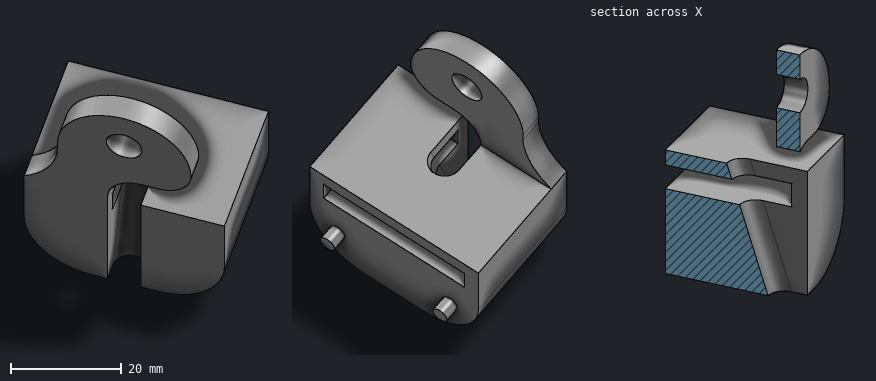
import cadquery as cq
import math

BODY_WIDTH = 38.1
BODY_DEPTH = 26.985
BODY_HEIGHT = 25.4
CORNER_RADIUS = BODY_WIDTH / 3
BODY_CENTER_X = BODY_WIDTH / 2

LUG_THICKNESS = 4.7625
LUG_HEIGHT = 25.4
LUG_TOP = BODY_HEIGHT + LUG_HEIGHT
LUG_RADIUS = 12.7
LUG_THROAT_RADIUS = 6.35
LUG_HOLE_DIAMETER = 6.75
LUG_HOLE_DROP = 8.467

SLOT_WIDTH = 6.35
SLOT_RADIUS = SLOT_WIDTH / 2
SLOT_DEPTH_BOTTOM = 6.35
SLOT_DEPTH_TOP = 14.65

CAVITY_WALL = 3.175
CAVITY_HEIGHT = 4.7625
CAVITY_TOP = BODY_HEIGHT - CAVITY_WALL

PIN_DIAMETER = 3.175
PIN_LENGTH = 3.175
PIN_SPACING = 25.4
PIN_HEIGHT = 8.73


def arc_point(center_x, center_z, radius, angle_degrees):
    """Point on a circle in the XZ plane, angle measured from +X towards +Z."""
    angle = math.radians(angle_degrees)
    return (center_x + radius * math.cos(angle), center_z + radius * math.sin(angle))


def along_y(profile, start, length):
    """Extrude an XZ profile towards +Y, beginning at Y = start."""
    return profile.extrude(-length).translate((0, start, 0))


def make_body():
    block = cq.Workplane("XY").box(BODY_WIDTH, BODY_DEPTH, BODY_HEIGHT, centered=False)
    return block.edges("|Y and <Z").fillet(CORNER_RADIUS)


def make_lug():
    left = BODY_CENTER_X - LUG_RADIUS
    right = BODY_CENTER_X + LUG_RADIUS
    head_z = LUG_TOP - LUG_RADIUS
    head_bottom = BODY_HEIGHT + LUG_THROAT_RADIUS
    chin_x = right - LUG_THROAT_RADIUS
    neck_right = BODY_CENTER_X - SLOT_RADIUS
    throat_x = neck_right + LUG_THROAT_RADIUS

    shoulder_x = left - LUG_RADIUS
    shoulder_z = BODY_HEIGHT + math.sqrt(LUG_RADIUS**2 - shoulder_x**2)
    shoulder_sweep = math.degrees(math.asin((shoulder_z - BODY_HEIGHT) / LUG_RADIUS))

    profile = (
        cq.Workplane("XZ")
        .moveTo(0, BODY_HEIGHT)
        .threePointArc(
            arc_point(shoulder_x, shoulder_z, LUG_RADIUS, -shoulder_sweep / 2),
            (left, shoulder_z),
        )
        .lineTo(left, head_z)
        .threePointArc((BODY_CENTER_X, LUG_TOP), (right, head_z))
        .threePointArc(
            arc_point(chin_x, head_z, LUG_THROAT_RADIUS, -45),
            (chin_x, head_bottom),
        )
        .lineTo(throat_x, head_bottom)
        .threePointArc(
            arc_point(throat_x, BODY_HEIGHT, LUG_THROAT_RADIUS, 135),
            (neck_right, BODY_HEIGHT),
        )
        .close()
    )
    return along_y(profile, 0, LUG_THICKNESS)


def make_lug_hole():
    profile = (
        cq.Workplane("XZ")
        .center(BODY_CENTER_X, LUG_TOP - LUG_HOLE_DROP)
        .circle(LUG_HOLE_DIAMETER / 2)
    )
    return along_y(profile, 0, LUG_THICKNESS)


def slot_section(z, depth):
    """Round-ended slot outline at height z, reaching depth behind the front face."""
    left = BODY_CENTER_X - SLOT_RADIUS
    right = BODY_CENTER_X + SLOT_RADIUS
    return (
        cq.Workplane("XY", origin=(0, 0, z))
        .moveTo(left, 0)
        .lineTo(right, 0)
        .lineTo(right, depth - SLOT_RADIUS)
        .threePointArc((BODY_CENTER_X, depth), (left, depth - SLOT_RADIUS))
        .close()
        .val()
    )


def make_slot():
    bottom = slot_section(0, SLOT_DEPTH_BOTTOM)
    top = slot_section(BODY_HEIGHT, SLOT_DEPTH_TOP)
    return cq.Workplane(cq.Solid.makeLoft([bottom, top], True))


def make_cavity():
    width = BODY_WIDTH - 2 * CAVITY_WALL
    depth = BODY_DEPTH - CAVITY_WALL
    block = cq.Workplane("XY").box(width, depth, CAVITY_HEIGHT, centered=False)
    return block.translate((CAVITY_WALL, CAVITY_WALL, CAVITY_TOP - CAVITY_HEIGHT))


def make_pins():
    profile = (
        cq.Workplane("XZ")
        .center(BODY_CENTER_X, PIN_HEIGHT)
        .pushPoints([(-PIN_SPACING / 2, 0), (PIN_SPACING / 2, 0)])
        .circle(PIN_DIAMETER / 2)
    )
    return along_y(profile, BODY_DEPTH, PIN_LENGTH)


result = (
    make_body()
    .union(make_lug())
    .cut(make_lug_hole())
    .cut(make_slot())
    .cut(make_cavity())
    .union(make_pins())
)